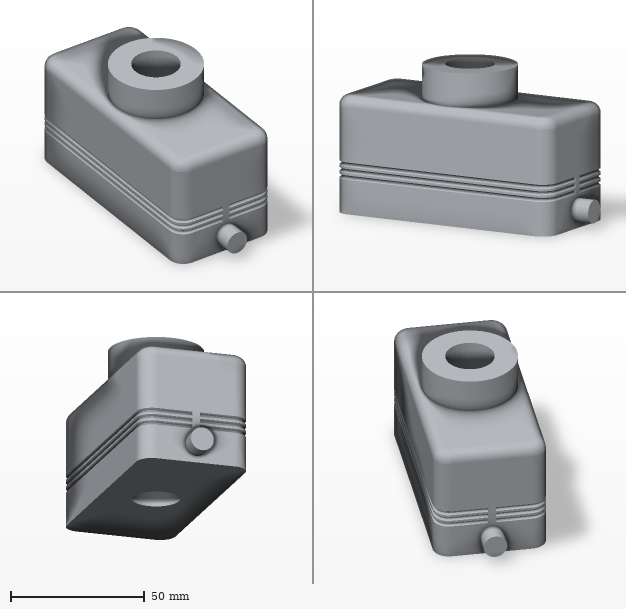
import cadquery as cq
import math

BODY_LENGTH = 93.5
BODY_WIDTH = 43.0
BODY_HEIGHT = 45.0
CORNER_RADIUS = 6.0
TOP_EDGE_RADIUS = 4.1

TOTAL_HEIGHT = 58.0
BOSS_DIAMETER = 36.1
BORE_BOTTOM_DIAMETER = 17.9
BORE_TOP_DIAMETER = 18.6

PIN_SPAN = 108.0
PIN_DIAMETER = 9.0
PIN_HEIGHT = 7.0

GROOVE_COUNT = 3
GROOVE_PITCH = 2.5
GROOVE_DEPTH = 0.9
GROOVE_MOUTH = 1.6
GROOVE_FLOOR = 0.4
BAND_MID_HEIGHT = 16.5
WEB_WIDTH = 2.9


def rounded_block(inset, bottom, height, taper=0):
    """Upright block following the body outline, moved inward by inset; a negative taper flares it upward."""
    outline = (
        cq.Sketch()
        .rect(BODY_LENGTH - 2 * inset, BODY_WIDTH - 2 * inset)
        .vertices()
        .fillet(CORNER_RADIUS - inset)
    )
    return cq.Workplane("XY", origin=(0, 0, bottom)).placeSketch(outline).extrude(height, taper=taper)


def make_body():
    return rounded_block(0, 0, BODY_HEIGHT).faces(">Z").edges().fillet(TOP_EDGE_RADIUS)


def make_boss():
    return cq.Workplane("XY").circle(BOSS_DIAMETER / 2).extrude(TOTAL_HEIGHT)


def make_pins():
    """One bar through the body; its two ends form the pins."""
    end_center = (-PIN_SPAN / 2, 0, PIN_HEIGHT)
    return cq.Workplane("YZ", origin=end_center).circle(PIN_DIAMETER / 2).extrude(PIN_SPAN)


def make_bore():
    """Slightly conical through bore, revolved about the Z axis."""
    return (
        cq.Workplane("XZ")
        .lineTo(BORE_BOTTOM_DIAMETER / 2, 0)
        .lineTo(BORE_TOP_DIAMETER / 2, TOTAL_HEIGHT)
        .lineTo(0, TOTAL_HEIGHT)
        .close()
        .revolve(360, (0, 0), (0, 1))
    )


def make_groove():
    """Ring around the body, centered on Z = 0, with a trapezoidal section that narrows to the floor."""
    flank_height = (GROOVE_MOUTH - GROOVE_FLOOR) / 2
    flank_angle = math.degrees(math.atan(GROOVE_DEPTH / flank_height))
    floor = rounded_block(GROOVE_DEPTH, -GROOVE_FLOOR / 2, GROOVE_FLOOR)
    flank = rounded_block(GROOVE_DEPTH, GROOVE_FLOOR / 2, flank_height, -flank_angle)
    core = floor.union(flank).union(flank.mirror("XY"))
    return rounded_block(0, -GROOVE_MOUTH / 2, GROOVE_MOUTH).cut(core)


def make_groove_band():
    web = cq.Workplane("XY").box(BODY_LENGTH, WEB_WIDTH, GROOVE_MOUTH)
    groove = make_groove().cut(web)
    lowest = BAND_MID_HEIGHT - GROOVE_PITCH * (GROOVE_COUNT - 1) / 2
    band = cq.Workplane("XY")
    for index in range(GROOVE_COUNT):
        band = band.add(groove.translate((0, 0, lowest + index * GROOVE_PITCH)))
    return band.combine()


result = make_body().cut(make_groove_band()).union(make_boss()).union(make_pins()).cut(make_bore())